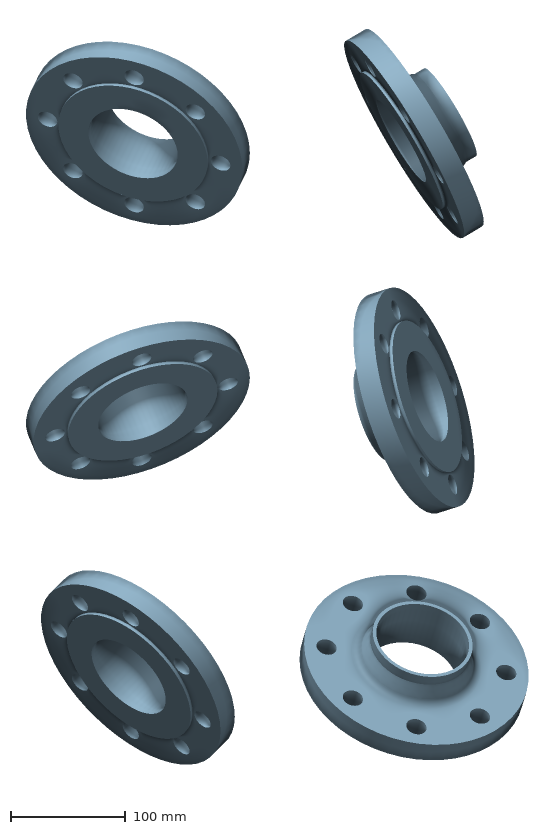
import cadquery as cq
import math

flange_diameter = 200.0
flange_thickness = 20.0
face_diameter = 138.0
face_height = 3.0
overall_length = 50.0
neck_diameter = 89.0
neck_length = 10.0
hub_base_diameter = 105.0
hub_fillet_radius = 8.0
bore_diameter = 82.5
bolt_circle_diameter = 160.0
bolt_hole_diameter = 18.0
bolt_count = 8

flange_back = face_height + flange_thickness
cone_end = overall_length - neck_length


def make_body():
    """Revolve the half section (radius, axial position) about the Y axis."""
    neck_radius = neck_diameter / 2
    hub_base_radius = hub_base_diameter / 2
    cone_angle = math.atan2(hub_base_radius - neck_radius, cone_end - flange_back)

    tangent_length = hub_fillet_radius * math.tan((math.pi / 2 - cone_angle) / 2)
    fillet_start = (hub_base_radius + tangent_length, flange_back)
    fillet_end = (
        hub_base_radius - tangent_length * math.sin(cone_angle),
        flange_back + tangent_length * math.cos(cone_angle),
    )

    return (
        cq.Workplane("XY")
        .moveTo(bore_diameter / 2, 0)
        .lineTo(face_diameter / 2, 0)
        .lineTo(face_diameter / 2, face_height)
        .lineTo(flange_diameter / 2, face_height)
        .lineTo(flange_diameter / 2, flange_back)
        .lineTo(*fillet_start)
        .tangentArcPoint(fillet_end, relative=False)
        .lineTo(neck_radius, cone_end)
        .lineTo(neck_radius, overall_length)
        .lineTo(bore_diameter / 2, overall_length)
        .close()
        .revolve(360, (0, 0, 0), (0, 1, 0))
    )


def make_bolt_holes():
    """Cylinders on the bolt circle, passing through the whole flange plate."""
    return (
        cq.Workplane("XZ")
        .polarArray(bolt_circle_diameter / 2, 0, 360, bolt_count)
        .circle(bolt_hole_diameter / 2)
        .extrude(-overall_length)
    )


result = make_body().cut(make_bolt_holes())